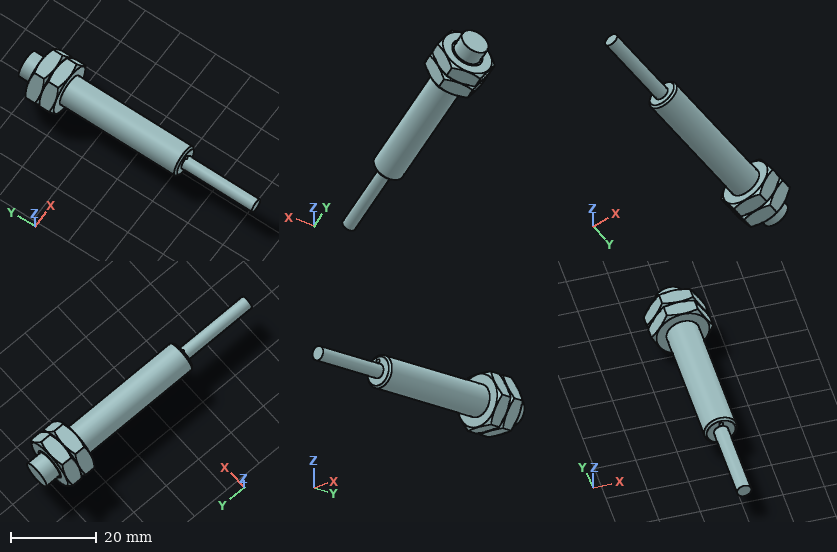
import cadquery as cq
import math

total_length = 65.0

nose_diameter = 7.0
nose_length = 4.0
barrel_diameter = 8.0
barrel_chamfer = 0.5
cable_diameter = 3.5
cable_length = 20.0
lamp_diameter = 1.0
lamp_height = 2.4

nut_count = 2
nut_across_flats = 13.0
nut_stack_length = 8.0
nut_thickness = nut_stack_length / nut_count
nut_face_diameter = 12.8
nut_chamfer_angle = 30.0

cable_end = -total_length / 2
barrel_front = cable_end + cable_length
nose_end = total_length / 2
barrel_back = nose_end - nose_length


def rod(diameter, start, end):
    """Solid cylinder on the Y axis from start to end."""
    return cq.Workplane("XZ", origin=(0, end, 0)).circle(diameter / 2).extrude(end - start)


def make_sensor():
    """Barrel with its sensing nose, cable and domed indicator lamp."""
    barrel = rod(barrel_diameter, barrel_front, barrel_back).faces("<Y").chamfer(barrel_chamfer)
    nose = rod(nose_diameter, barrel_back, nose_end)
    cable = rod(cable_diameter, cable_end, barrel_front)
    lamp = cq.Workplane("XY").sphere(lamp_diameter / 2).translate((0, barrel_front, lamp_height))
    return barrel.union(nose).union(cable).union(lamp)


def make_nut(back):
    """Hexagon nut with both faces chamfered, its back face at the given Y."""
    across_corners = nut_across_flats / math.cos(math.radians(30))
    corner_radius = across_corners / 2
    face_radius = nut_face_diameter / 2
    chamfer_depth = (corner_radius - face_radius) * math.tan(math.radians(nut_chamfer_angle))
    front = back - nut_thickness

    hexagon = cq.Workplane("XZ", origin=(0, back, 0)).polygon(6, across_corners).extrude(nut_thickness)
    envelope = (
        cq.Workplane("XY")
        .moveTo(0, front)
        .lineTo(face_radius, front)
        .lineTo(corner_radius, front + chamfer_depth)
        .lineTo(corner_radius, back - chamfer_depth)
        .lineTo(face_radius, back)
        .lineTo(0, back)
        .close()
        .revolve(360, (0, 0, 0), (0, 1, 0))
    )
    bore = rod(barrel_diameter, front, back)
    return hexagon.intersect(envelope).cut(bore)


sensor = make_sensor()
nuts = [make_nut(barrel_back - index * nut_thickness) for index in range(nut_count)]

result = cq.Compound.makeCompound([sensor.val(), *[nut.val() for nut in nuts]])